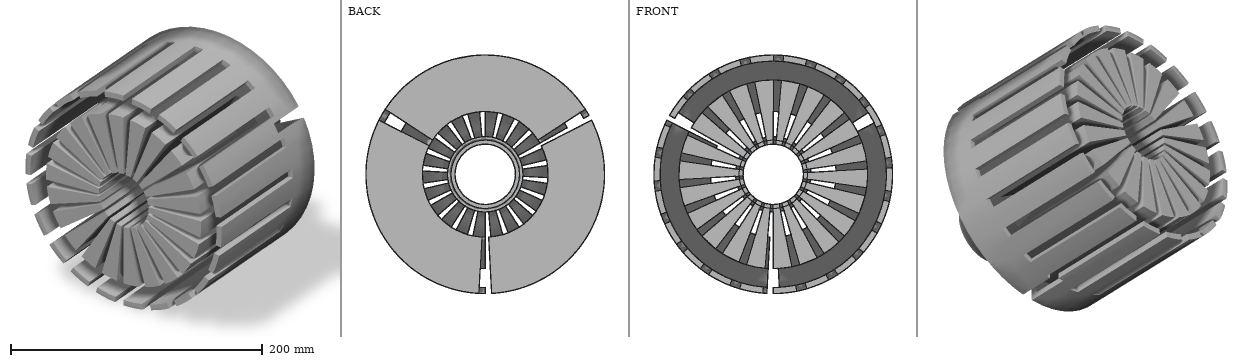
import cadquery as cq
import math

CAGE_LENGTH = 130.0
BASE_THICKNESS = 5.0
SLOT_START = 30.0
NOTCH_DEPTH = 35.0
TOOTH_START = 90.0
REAR_LENGTH = 50.0

SHELL_RADIUS = 95.0
SHELL_INNER_RADIUS = 90.0
CORE_RADIUS = 75.0
CAVITY_RADIUS = 50.0
SLEEVE_RADIUS = 30.0
TUBE_RADIUS = 27.2
BORE_RADIUS = 24.0

SLOT_COUNT = 22
SLOT_ANGLE = 5.0
NOTCH_COUNT = 3
NOTCH_ANGLE = 6.0
NOTCH_FIRST_ANGLE = 30.0

CUT_RADIUS = 1.2 * SHELL_RADIUS


def ring(outer_radius, inner_radius, start_depth, end_depth):
    """Round ring about the Y axis between two depths."""
    return (
        cq.Workplane("XZ", origin=(0, -start_depth, 0))
        .circle(outer_radius)
        .circle(inner_radius)
        .extrude(end_depth - start_depth)
    )


def wedge(start_angle, end_angle, start_depth, end_depth):
    """Triangular wedge with its tip on the Y axis; angles are in degrees from +X toward +Z."""
    corners = [
        (CUT_RADIUS * math.cos(math.radians(angle)), CUT_RADIUS * math.sin(math.radians(angle)))
        for angle in (start_angle, end_angle)
    ]
    return (
        cq.Workplane("XZ", origin=(0, -start_depth, 0))
        .polyline([(0, 0), *corners])
        .close()
        .extrude(end_depth - start_depth)
    )


def cut_slots(body):
    """Cut the radial slots, which stay open at the front; one side of the first lies on the +Z axis."""
    for index in range(SLOT_COUNT):
        end_angle = 90 + index * 360 / SLOT_COUNT
        body = body.cut(wedge(end_angle - SLOT_ANGLE, end_angle, SLOT_START, CAGE_LENGTH))
    return body


def cut_notches(body):
    """Cut the rear notches through the base, core and shell, clear of the sleeve."""
    for index in range(NOTCH_COUNT):
        middle_angle = NOTCH_FIRST_ANGLE + index * 360 / NOTCH_COUNT
        start_angle = middle_angle - NOTCH_ANGLE / 2
        body = body.cut(wedge(start_angle, start_angle + NOTCH_ANGLE, 0, NOTCH_DEPTH))
    return body


def make_cage():
    """Shell and core on one base, with core teeth that reach in at the front to a sleeve around the tube.

    The unslotted rear of the sleeve holds the teeth together where the notches and slots part the base.
    """
    base = ring(SHELL_RADIUS, CAVITY_RADIUS, 0, BASE_THICKNESS)
    shell = ring(SHELL_RADIUS, SHELL_INNER_RADIUS, 0, CAGE_LENGTH)
    core = ring(CORE_RADIUS, CAVITY_RADIUS, 0, CAGE_LENGTH)
    teeth = ring(CORE_RADIUS, TUBE_RADIUS, TOOTH_START, CAGE_LENGTH)
    sleeve = ring(SLEEVE_RADIUS, TUBE_RADIUS, 0, CAGE_LENGTH)
    notched = cut_notches(base.union(shell).union(core).union(teeth))
    return cut_slots(notched.union(sleeve))


def make_tube():
    """Bored tube that fills the sleeve and projects to the rear, slotted in line with the cage."""
    return cut_slots(ring(TUBE_RADIUS, BORE_RADIUS, -REAR_LENGTH, CAGE_LENGTH))


cage = make_cage()
tube = make_tube()

result = cq.Compound.makeCompound([cage.val(), tube.val()])